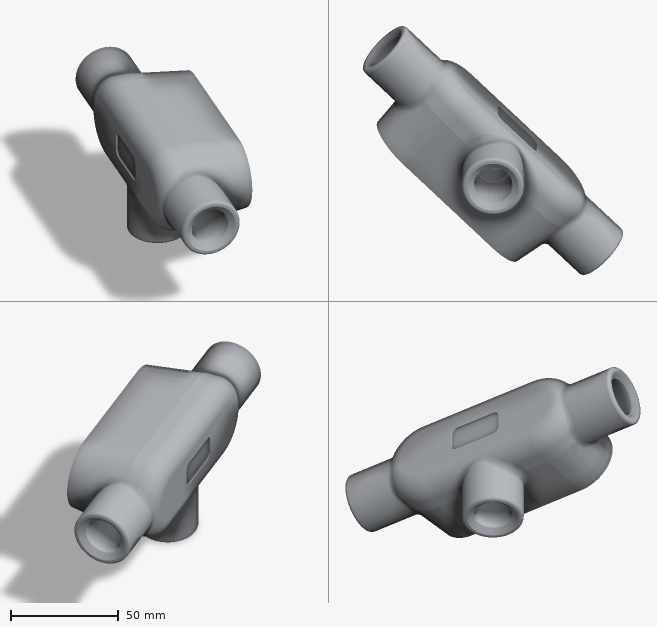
import cadquery as cq
import math

LENGTH = 145.1
HEIGHT = 63.5

BODY_HEIGHT = 42.4
BODY_RADIUS = BODY_HEIGHT / 2
BODY_HALF_STRAIGHT = 29.9
BACK_DEPTH = 29.5
BACK_HEIGHT = 34.4
DRAFT_ANGLE = math.degrees(math.atan((BODY_HEIGHT - BACK_HEIGHT) / 2 / BACK_DEPTH))
STRAIGHT_DEPTH = 6.4
FRONT_ROUND = 9.5
FRONT_DEPTH = STRAIGHT_DEPTH + FRONT_ROUND

HUB_RADIUS = 14.3
HUB_RIM_ROUND = 1.5
HUB_BLEND = 2.9
JOINT_MARGIN = 0.7

MOUTH_RADIUS = 11.9
MOUTH_DEPTH = 2.3
BORE_RADIUS = 9.0
BORE_END_RADIUS = 8.5
BORE_END_DEPTH = 23.2
THROAT_RADIUS = 7.4
THROAT_ROUND = BORE_END_RADIUS - THROAT_RADIUS

PLATE_LENGTH = 25.8
PLATE_HEIGHT = 12.8
PLATE_CORNER = 2.9
PLATE_DEPTH = 1.0

HUBS = [
    (LENGTH / 2, 90),
    (LENGTH / 2, -90),
    (HEIGHT - BODY_RADIUS, 0),
]


def round_ended_block(depth, taper=0):
    """Block with half-round ends, extruded from the hub axes towards the front (or back if negative)."""
    length = 2 * (BODY_HALF_STRAIGHT + BODY_RADIUS)
    return cq.Workplane("XZ").slot2D(length, 2 * BODY_RADIUS).extrude(depth, taper=taper)


def body():
    """Drafted behind the hub axes, straight and then rounded in front of them."""
    front = round_ended_block(FRONT_DEPTH).faces("<Y").edges().fillet(FRONT_ROUND)
    return front.union(round_ended_block(-BACK_DEPTH, taper=DRAFT_ANGLE))


def turned(part, angle):
    return part.rotate((0, 0, 0), (0, 1, 0), angle)


def add_hub(part, length, turn):
    """Join a hub to the part and fillet the joint, working with the hub pointing down."""
    section = cq.Plane((0, 0, 0), xDir=(0, 1, 0), normal=(0, 0, -1))
    hub = cq.Workplane(section).circle(HUB_RADIUS).extrude(length)
    hub = hub.faces("<Z").edges().fillet(HUB_RIM_ROUND)
    joined = turned(part, -turn).union(hub)
    reach = HUB_RADIUS + JOINT_MARGIN
    joint = cq.selectors.BoxSelector(
        (-reach, -reach, HUB_RIM_ROUND + JOINT_MARGIN - length),
        (reach, reach, 0),
        boundingbox=True,
    )
    return turned(joined.edges(joint).fillet(HUB_BLEND), turn)


def opening(length, turn):
    """Cutter for a hub's countersunk mouth, tapered bore and round-lipped throat."""
    bore_end = BORE_END_DEPTH - length
    throat_start = bore_end + THROAT_ROUND
    lip_inset = THROAT_ROUND * math.sqrt(0.5)
    cutter = (
        cq.Workplane("XZ")
        .moveTo(0, -length)
        .lineTo(MOUTH_RADIUS, -length)
        .lineTo(BORE_RADIUS, MOUTH_DEPTH - length)
        .lineTo(BORE_END_RADIUS, bore_end)
        .threePointArc(
            (BORE_END_RADIUS - lip_inset, throat_start - lip_inset),
            (THROAT_RADIUS, throat_start),
        )
        .lineTo(THROAT_RADIUS, 0)
        .lineTo(0, 0)
        .close()
        .revolve(360, (0, 0, 0), (0, 1, 0))
    )
    return turned(cutter, turn)


def plate_recess():
    plate = cq.Workplane("XZ", origin=(0, -FRONT_DEPTH, 0)).rect(PLATE_LENGTH, PLATE_HEIGHT)
    return plate.extrude(-PLATE_DEPTH).edges("|Y").fillet(PLATE_CORNER)


result = body()
for length, turn in HUBS:
    result = add_hub(result, length, turn)
for length, turn in HUBS:
    result = result.cut(opening(length, turn))
result = result.cut(plate_recess())